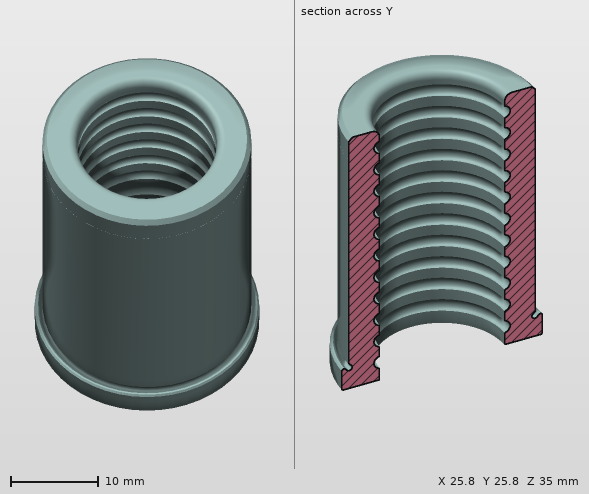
import cadquery as cq
import math

TOTAL_HEIGHT = 35.0
COLLAR_RADIUS = 12.9
COLLAR_HEIGHT = 3.0
COLLAR_CHAMFER = 0.2
BODY_RADIUS = 12.0
TOP_CHAMFER = 0.5
LEAD_LENGTH = 3.0
LEAD_CLEARANCE = 0.01

RELIEF_SIZE = 0.5
RELIEF_WALL = 0.35

BORE_RADIUS = 8.0
MOUTH_FILLET = 1.0
GROOVE_PITCH = 3.0
GROOVE_WIDTH = 1.6
GROOVE_DEPTH = 0.7
GROOVE_END_DISTANCE = 2.5


def revolve_about_z(profile):
    """Full turn of a closed XZ profile around the part axis."""
    return profile.revolve(360, (0, 0), (0, 1))


def body_shell():
    """Solid of revolution: collar, relief, body and the slightly reduced lead end."""
    lead_radius = BODY_RADIUS - LEAD_CLEARANCE
    relief_top = COLLAR_HEIGHT + RELIEF_SIZE
    relief_rim = BODY_RADIUS + RELIEF_SIZE
    relief_round = RELIEF_SIZE / math.sqrt(2)
    collar_rim = COLLAR_RADIUS - COLLAR_CHAMFER
    profile = (
        cq.Workplane("XZ")
        .moveTo(BORE_RADIUS, 0)
        .lineTo(collar_rim, 0)
        .lineTo(COLLAR_RADIUS, COLLAR_CHAMFER)
        .lineTo(COLLAR_RADIUS, COLLAR_HEIGHT - COLLAR_CHAMFER)
        .lineTo(collar_rim, COLLAR_HEIGHT)
        .lineTo(relief_rim, COLLAR_HEIGHT)
        .lineTo(relief_rim - RELIEF_WALL, COLLAR_HEIGHT - RELIEF_WALL)
        .radiusArc((BODY_RADIUS - RELIEF_WALL, relief_top - RELIEF_WALL), relief_round)
        .lineTo(BODY_RADIUS, relief_top)
        .lineTo(BODY_RADIUS, TOTAL_HEIGHT - LEAD_LENGTH)
        .lineTo(lead_radius, TOTAL_HEIGHT - LEAD_LENGTH)
        .lineTo(lead_radius, TOTAL_HEIGHT - TOP_CHAMFER)
        .lineTo(lead_radius - TOP_CHAMFER, TOTAL_HEIGHT)
        .lineTo(BORE_RADIUS + MOUTH_FILLET, TOTAL_HEIGHT)
        .radiusArc((BORE_RADIUS, TOTAL_HEIGHT - MOUTH_FILLET), -MOUTH_FILLET)
        .close()
    )
    return revolve_about_z(profile)


def ring_groove(center_z):
    """Cutter for one round-bottomed groove around the bore."""
    half_width = GROOVE_WIDTH / 2
    profile = (
        cq.Workplane("XZ")
        .moveTo(0, center_z - half_width)
        .lineTo(BORE_RADIUS, center_z - half_width)
        .threePointArc(
            (BORE_RADIUS + GROOVE_DEPTH, center_z),
            (BORE_RADIUS, center_z + half_width),
        )
        .lineTo(0, center_z + half_width)
        .close()
    )
    return revolve_about_z(profile)


def bushing():
    """Body with evenly spaced bore grooves, equally far from both ends."""
    groove_span = TOTAL_HEIGHT - 2 * GROOVE_END_DISTANCE
    groove_count = round(groove_span / GROOVE_PITCH) + 1
    part = body_shell()
    for index in range(groove_count):
        part = part.cut(ring_groove(GROOVE_END_DISTANCE + index * GROOVE_PITCH))
    return part


result = bushing()